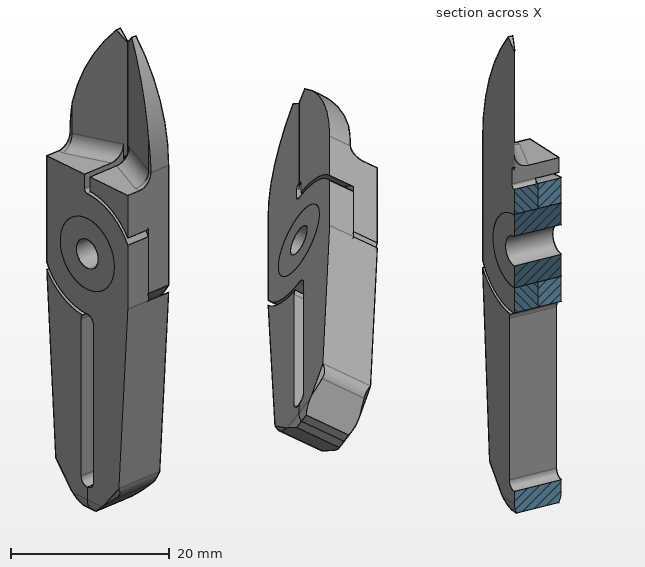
import cadquery as cq
import math


width = 15.0
thickness = 7.0
tip_z = 28.9
bottom_z = tip_z - 65
half_width = width / 2
front_y = -thickness / 2
back_y = thickness / 2

tip_x = 1.4
jaw_base_z = 12.9
edge_thickness = 0.1
jaw_side_thickness = 3.05
jaw_flat_x = 7.1
shoulder_z = 11.05
shoulder_fillet = 1.95

taper_start_z = -5.0
heel_x = 5.8
heel_z = -32.05
heel_radius = 2.6
toe_x = 1.2
heel_bevel_upper = (5.85, -31.0)
heel_bevel_lower = (2.85, -34.65)
toe_round_radius = 2.6
toe_round_height = 1.35

jaw_slot_width = 1.05
jaw_slot_top = 11.45
handle_slot_width = 2.3
handle_slot_bottom = -32.95

hub_radius = 8.5
hub_clearance_radius = 9.05
bush_radius = 5.0
bush_hole_radius = 2.0

margin = 3.25


def box(x0, x1, y0, y1, z0, z1):
    return cq.Workplane("XY").box(x1 - x0, y1 - y0, z1 - z0, centered=False).translate((x0, y0, z0))


def disc(radius, y0, y1):
    return cq.Workplane("XZ", origin=(0, y0, 0)).circle(radius).extrude(y0 - y1)


def side_arc_midpoint():
    """Middle point of the right jaw arc, which is tangent to the straight side."""
    inset = half_width - tip_x
    rise = tip_z - jaw_base_z
    radius = (inset**2 + rise**2) / (2 * inset)
    half_sweep = math.asin(rise / radius) / 2
    x = half_width - radius * (1 - math.cos(half_sweep))
    return x, jaw_base_z + radius * math.sin(half_sweep)


def pliers_outline():
    arc_x, arc_z = side_arc_midpoint()
    body = (
        cq.Workplane("XZ", origin=(0, back_y, 0))
        .moveTo(0, tip_z - tip_x)
        .lineTo(tip_x, tip_z)
        .threePointArc((arc_x, arc_z), (half_width, jaw_base_z))
        .lineTo(half_width, taper_start_z)
        .lineTo(heel_x, heel_z)
        .lineTo(toe_x, bottom_z)
        .lineTo(-toe_x, bottom_z)
        .lineTo(-heel_x, heel_z)
        .lineTo(-half_width, taper_start_z)
        .lineTo(-half_width, jaw_base_z)
        .threePointArc((-arc_x, arc_z), (-tip_x, tip_z))
        .close()
        .extrude(thickness)
    )
    heel_reach = 0.05
    heels = cq.selectors.BoxSelector(
        (-half_width, back_y, heel_z - heel_reach), (half_width, front_y, heel_z + heel_reach)
    )
    return body.edges("|Y").edges(heels).fillet(heel_radius)


def jaw_front_space(base_z):
    """Space in front of the jaw faces, which are thinnest at the cutting edges."""
    outer_x = half_width + margin
    edge_y = back_y - edge_thickness
    side_y = back_y - jaw_side_thickness
    return (
        cq.Workplane("XY", origin=(0, 0, base_z))
        .polyline([
            (0, edge_y),
            (jaw_flat_x, side_y),
            (outer_x, side_y),
            (outer_x, front_y - margin),
            (-outer_x, front_y - margin),
            (-outer_x, side_y),
            (-jaw_flat_x, side_y),
        ])
        .close()
        .extrude(tip_z + margin - base_z)
    )


def shoulder_cutter():
    """Space above the shoulder, rounded where the jaw faces rise from it."""
    faces_only = cq.selectors.BoxSelector(
        (-half_width - margin, back_y - jaw_side_thickness - 0.05, shoulder_z - 0.05),
        (half_width + margin, back_y, shoulder_z + 0.05),
    )
    return jaw_front_space(shoulder_z).edges("<Z").edges(faces_only).fillet(shoulder_fillet)


def centre_slot(slot_width, z0, z1):
    return (
        cq.Workplane("XZ", origin=(0, back_y, 0))
        .center(0, (z0 + z1) / 2)
        .slot2D(z1 - z0, slot_width, 90)
        .extrude(thickness)
    )


def jaw_relief():
    """Narrow channel that carries the jaw faces down into the jaw slot."""
    half_slot = jaw_slot_width / 2
    channel_base = hub_radius + half_slot
    channel = box(-half_slot, half_slot, front_y, back_y, channel_base, tip_z)
    return jaw_front_space(channel_base).intersect(channel)


def heel_bevel():
    """45 degree bevel across the front right heel corner."""
    upper_x, upper_z = heel_bevel_upper
    lower_x, lower_z = heel_bevel_lower
    run = (upper_x - lower_x, upper_z - lower_z)
    length = math.hypot(*run)
    along = cq.Vector(run[0] / length, 0, run[1] / length)
    outward = cq.Vector(run[1] / length, 0, -run[0] / length)
    start = cq.Vector(lower_x, front_y, lower_z) - along * margin
    plane = cq.Plane(origin=start, xDir=outward, normal=along)
    return (
        cq.Workplane(plane)
        .polyline([(0, 0), (margin, margin), (margin, -margin), (0, -margin)])
        .close()
        .extrude(length + 2 * margin)
    )


def toe_round():
    """Shallow round between the front face and the toe end."""
    start_z = bottom_z + toe_round_height
    end_angle = math.asin(toe_round_height / toe_round_radius)

    def point(angle):
        y = front_y + toe_round_radius * (1 - math.cos(angle))
        return y, start_z - toe_round_radius * math.sin(angle)

    return (
        cq.Workplane("YZ", origin=(-half_width, 0, 0))
        .moveTo(front_y, start_z)
        .threePointArc(point(end_angle / 2), point(end_angle))
        .lineTo(front_y, bottom_z)
        .close()
        .extrude(width)
    )


def pliers_blank():
    """Both levers as one shape, before the lap joint divides it."""
    blank = (
        pliers_outline()
        .cut(shoulder_cutter())
        .cut(jaw_relief())
        .cut(centre_slot(jaw_slot_width, hub_radius, jaw_slot_top))
        .cut(centre_slot(handle_slot_width, handle_slot_bottom, -hub_radius))
    )
    right_bevel = heel_bevel()
    front_cutters = [right_bevel, right_bevel.mirror("YZ"), toe_round()]
    for cutter in front_cutters:
        blank = blank.cut(cutter).cut(cutter.mirror("XZ"))
    return blank.cut(disc(bush_radius, front_y, back_y))


def lever(blank, jaw_side, hub_y0, hub_y1):
    """One lever: jaw on jaw_side (-1 left, 1 right), handle opposite, hub between hub_y0 and hub_y1."""
    jaw_x = sorted((0, jaw_side * half_width))
    handle_x = sorted((0, -jaw_side * half_width))
    jaw = box(*jaw_x, front_y, back_y, 0, tip_z)
    handle = box(*handle_x, front_y, back_y, bottom_z, 0)
    other_hub = disc(hub_clearance_radius, -hub_y1, -hub_y0)
    hub = disc(hub_radius, hub_y0, hub_y1)
    share = jaw.union(handle).cut(other_hub).union(hub)
    return blank.intersect(share)


def pivot_bush():
    return disc(bush_radius, front_y, back_y).cut(disc(bush_hole_radius, front_y, back_y))


blank = pliers_blank()
levers = [
    lever(blank, jaw_side, *sorted((0, jaw_side * back_y)))
    for jaw_side in (-1, 1)
]
bush = pivot_bush()

result = cq.Compound.makeCompound(
    [solid for part in levers for solid in part.vals()] + [bush.val()]
)